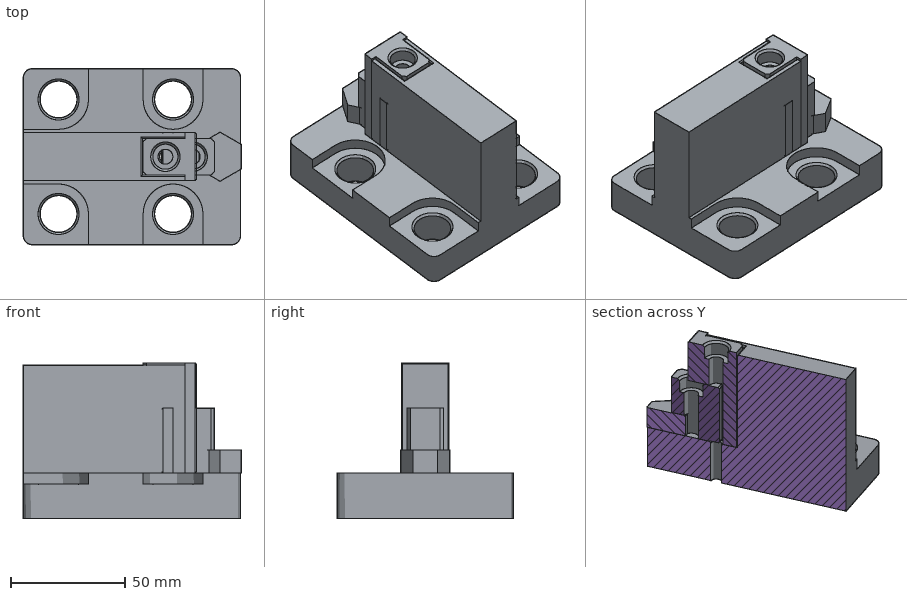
import cadquery as cq
import math

BASE_LENGTH = 95.0
BASE_WIDTH = 77.0
BASE_HEIGHT = 20.0
BASE_CORNER_RADIUS = 4.0

HOLE_DIAMETER = 16.0
HOLE_CHAMFER = 1.0
HOLE_FIRST_X = 15.4
HOLE_SPACING = 50.0
HOLE_XS = (HOLE_FIRST_X, HOLE_FIRST_X + HOLE_SPACING)
HOLE_Y = HOLE_SPACING / 2
POCKET_RADIUS = 13.05
POCKET_DEPTH = 5.0

WALL_THICKNESS = 21.0
WALL_LENGTH = 70.7
WALL_TOP = 67.0
SLOT_START_X = 52.0
SLOT_CHAMFER = 0.6

TONGUE_WIDTH = 16.0
TONGUE_CORNER = 1.5
FLANGE_THICKNESS = 5.0
FLANGE_CHAMFER = 0.6
INSERT_TOP = 68.0
INSERT_TONGUE_X = 52.3
INSERT_FLANGE_X = WALL_LENGTH + FLANGE_THICKNESS
SLIDE_TOP = BASE_HEIGHT + 28.2
SLIDE_FLANGE_X = 60.5
SLIDE_TONGUE_X = 83.5

STOP_HEIGHT = 10.0
STOP_ACROSS_FLATS = 18.6
STOP_END_X = 95.25
STOP_CENTER_X = STOP_END_X - STOP_ACROSS_FLATS / 2
STOP_ACROSS_CORNERS = STOP_ACROSS_FLATS / math.cos(math.pi / 6)

SCREW_DIAMETER = 6.5
SCREW_HEAD_DIAMETER = 11.0
SCREW_HEAD_CHAMFER = 1.0
SCREW_HEAD_DEPTH = 6.5
SCREW_TO_FLANGE = 13.5
THREAD_DIAMETER = 5.0
INSERT_SCREW_X = INSERT_FLANGE_X - SCREW_TO_FLANGE
SLIDE_SCREW_X = SLIDE_FLANGE_X + SCREW_TO_FLANGE


def box(x_start, x_end, width, z_start, z_end):
    """A block centred on Y = 0."""
    return (
        cq.Workplane("XY", origin=(x_start, 0, z_start))
        .box(x_end - x_start, width, z_end - z_start, centered=(False, True, False))
    )


def cylinder(diameter, x, y, z_start, z_end):
    return cq.Workplane("XY", origin=(x, y, z_start)).circle(diameter / 2).extrude(z_end - z_start)


def countersink(diameter, chamfer, x, y, z_top):
    """The cone that chamfers the upper rim of a round hole by equal legs."""
    cone = cq.Solid.makeCone(
        diameter / 2, diameter / 2 + chamfer, chamfer, pnt=cq.Vector(x, y, z_top - chamfer)
    )
    return cq.Workplane("XY").add(cone)


def screw_hole(x, z_bottom, z_top):
    """Clearance hole with a counterbore and a chamfered rim."""
    return (
        cylinder(SCREW_DIAMETER, x, 0, z_bottom, z_top)
        .union(cylinder(SCREW_HEAD_DIAMETER, x, 0, z_top - SCREW_HEAD_DEPTH, z_top))
        .union(countersink(SCREW_HEAD_DIAMETER, SCREW_HEAD_CHAMFER, x, 0, z_top))
    )


def tee_block(tongue_x, flange_x, z_top):
    """T in plan standing on the base; the tongue ends at tongue_x, the flange's outer face is at flange_x."""
    toward_tongue = math.copysign(1, tongue_x - flange_x)
    flange_inner_x = flange_x + toward_tongue * FLANGE_THICKNESS
    flange = box(
        min(flange_x, flange_inner_x), max(flange_x, flange_inner_x), WALL_THICKNESS, BASE_HEIGHT, z_top
    )
    tongue = box(
        min(flange_inner_x, tongue_x), max(flange_inner_x, tongue_x), TONGUE_WIDTH, BASE_HEIGHT, z_top
    )
    flange_face, tongue_edges = ("<X", "|Z and >X") if toward_tongue > 0 else (">X", "|Z and <X")
    flange = flange.faces(flange_face).chamfer(FLANGE_CHAMFER)
    tongue = tongue.edges(tongue_edges).chamfer(TONGUE_CORNER)
    return flange.union(tongue)


def make_stop():
    """Hexagonal block standing on the base."""
    return (
        cq.Workplane("XY", origin=(STOP_CENTER_X, 0, BASE_HEIGHT))
        .transformed(rotate=(0, 0, 90))
        .polygon(6, STOP_ACROSS_CORNERS)
        .extrude(STOP_HEIGHT)
    )


def make_slide_blank():
    """The slide's full T-shaped block, which the wall and the insert are cut to fit."""
    return tee_block(SLIDE_TONGUE_X, SLIDE_FLANGE_X, SLIDE_TOP)


def make_slide():
    """Low slide, drilled for its screw and recessed at its foot for the stop."""
    return make_slide_blank().cut(screw_hole(SLIDE_SCREW_X, BASE_HEIGHT, SLIDE_TOP)).cut(make_stop())


def make_insert():
    """Tall insert that straddles the slide."""
    blank = tee_block(INSERT_TONGUE_X, INSERT_FLANGE_X, INSERT_TOP)
    return blank.cut(make_slide_blank()).cut(screw_hole(INSERT_SCREW_X, BASE_HEIGHT, INSERT_TOP))


def corner_pocket(x, side):
    """Pocket round a mounting hole, open through the long side of the base."""
    floor_z = BASE_HEIGHT - POCKET_DEPTH
    hole_y = side * HOLE_Y
    edge_y = side * BASE_WIDTH / 2
    run_out = cq.Workplane("XY", origin=(x, (hole_y + edge_y) / 2, floor_z)).box(
        2 * POCKET_RADIUS, abs(edge_y - hole_y), POCKET_DEPTH, centered=(True, True, False)
    )
    return cylinder(2 * POCKET_RADIUS, x, hole_y, floor_z, BASE_HEIGHT).union(run_out)


def end_run_out(side):
    """Opens the first pocket through the -X end of the base."""
    inner_y = HOLE_Y - POCKET_RADIUS
    width = BASE_WIDTH / 2 - inner_y
    return cq.Workplane("XY", origin=(0, side * (inner_y + width / 2), BASE_HEIGHT - POCKET_DEPTH)).box(
        HOLE_FIRST_X, width, POCKET_DEPTH, centered=(False, True, False)
    )


def make_base():
    """Base plate with four mounting holes in open pockets."""
    base = box(0, BASE_LENGTH, BASE_WIDTH, 0, BASE_HEIGHT).edges("|Z").fillet(BASE_CORNER_RADIUS)
    for side in (-1, 1):
        base = base.cut(end_run_out(side))
        for x in HOLE_XS:
            base = base.cut(corner_pocket(x, side))
            base = base.cut(cylinder(HOLE_DIAMETER, x, side * HOLE_Y, 0, BASE_HEIGHT))
            rim_z = BASE_HEIGHT - POCKET_DEPTH
            base = base.cut(countersink(HOLE_DIAMETER, HOLE_CHAMFER, x, side * HOLE_Y, rim_z))

    return base


def make_wall():
    """Upright wall with the insert's slot and the slide's opening."""
    wall = box(0, WALL_LENGTH, WALL_THICKNESS, BASE_HEIGHT, WALL_TOP)
    slot = box(SLOT_START_X, WALL_LENGTH, TONGUE_WIDTH, BASE_HEIGHT, WALL_TOP)
    slot_length = WALL_LENGTH - SLOT_START_X
    slot_rim = (
        cq.Workplane("XY", origin=(SLOT_START_X + slot_length / 2, 0, WALL_TOP))
        .center(-SLOT_CHAMFER / 2, 0)
        .rect(slot_length + SLOT_CHAMFER, TONGUE_WIDTH + 2 * SLOT_CHAMFER)
        .workplane(offset=-SLOT_CHAMFER)
        .center(SLOT_CHAMFER / 2, 0)
        .rect(slot_length, TONGUE_WIDTH)
        .loft(ruled=True)
    )
    return wall.cut(slot).cut(slot_rim).cut(make_slide_blank())


def make_housing():
    """Base and wall in one piece, with a through hole for the insert's screw."""
    thread_chamfer = (SCREW_DIAMETER - THREAD_DIAMETER) / 2
    return (
        make_base()
        .union(make_wall())
        .cut(cylinder(THREAD_DIAMETER, INSERT_SCREW_X, 0, 0, BASE_HEIGHT))
        .cut(countersink(THREAD_DIAMETER, thread_chamfer, INSERT_SCREW_X, 0, BASE_HEIGHT))
    )


housing = make_housing()
insert = make_insert()
slide = make_slide()
stop = make_stop()
result = cq.Compound.makeCompound([housing.val(), insert.val(), slide.val(), stop.val()])